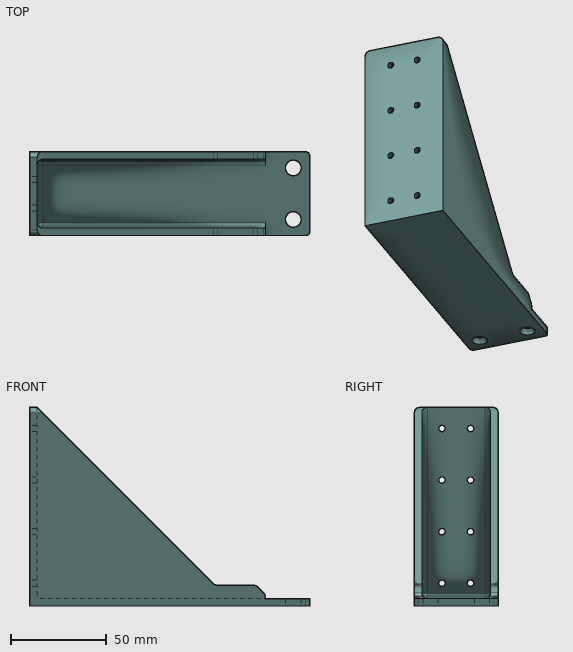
import cadquery as cq

length = 146.5
width = 44.0
height = 104.0
wall = 4.0
bend_radius = 3.0
toe_radius = 2.2

low_wall_height = 11.0
wall_end = 123.2
nose_chamfer = 4.8

mount_diameter = 8.0
mount_from_end = 8.6
mount_spacing = 27.0
screw_diameter = 3.2
screw_columns = 2
screw_column_spacing = 15.0
screw_rows = 4
screw_row_spacing = 27.0
first_screw_height = 12.0

slope_end = wall + height - low_wall_height
nose_start = wall_end - nose_chamfer
nose_bottom = low_wall_height - nose_chamfer


def make_body():
    """Extrude the side profile over the full width and round its corners."""
    body = (
        cq.Workplane("XZ")
        .polyline([
            (0, 0),
            (length, 0),
            (length, wall),
            (wall_end, wall),
            (wall_end, nose_bottom),
            (nose_start, low_wall_height),
            (slope_end, low_wall_height),
            (wall, height),
            (0, height),
        ])
        .close()
        .extrude(width / 2, both=True)
    )
    rounded_corners = [
        (wall_end, nose_bottom),
        (nose_start, low_wall_height),
        (slope_end, low_wall_height),
    ]
    for x, z in rounded_corners:
        body = body.edges(cq.selectors.NearestToPointSelector((x, 0, z))).fillet(bend_radius)
    body = body.edges("|X and >Z").fillet(bend_radius)
    return body.edges("|Z and >X").fillet(toe_radius)


def make_channel():
    """Space between the side walls, open at the top and towards the free end."""
    channel = cq.Workplane("XY").box(
        length, width - 2 * wall, height, centered=(False, True, False)
    ).translate((wall, 0, wall))
    channel = channel.edges("<Z or (|Z and <X)").edges("not(>X)").fillet(bend_radius)
    return channel.intersect(
        cq.Workplane("XY").box(wall_end, width, 2 * height, centered=(False, True, False))
    )


def make_mount_holes():
    """Holes through the free end of the floor."""
    return (
        cq.Workplane("XY")
        .center(length - mount_from_end, 0)
        .rarray(1.5, mount_spacing, 1, 2)
        .circle(mount_diameter / 2)
        .extrude(wall)
    )


def make_screw_holes():
    """Grid of holes through the back plate."""
    grid_center = first_screw_height + (screw_rows - 1) * screw_row_spacing / 2
    return (
        cq.Workplane("YZ")
        .center(0, grid_center)
        .rarray(screw_column_spacing, screw_row_spacing, screw_columns, screw_rows)
        .circle(screw_diameter / 2)
        .extrude(wall)
    )


result = make_body().cut(make_channel()).cut(make_mount_holes()).cut(make_screw_holes())